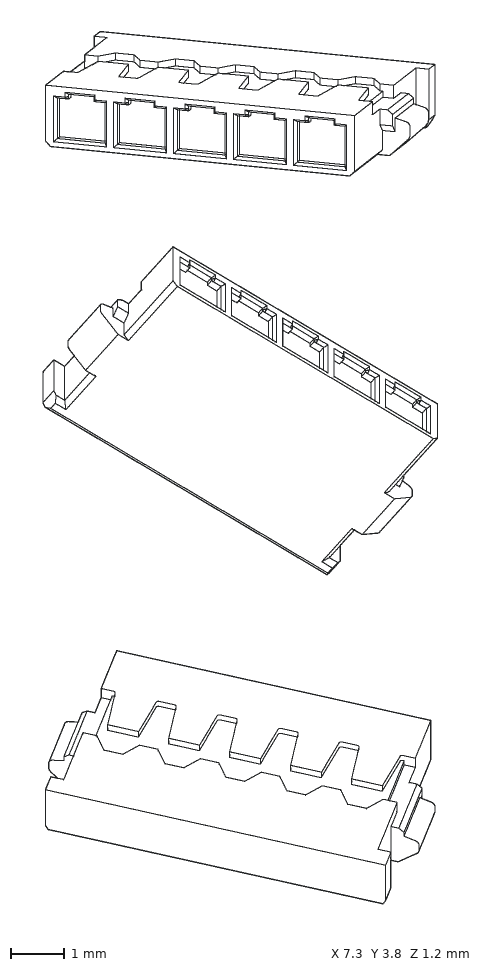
import cadquery as cq
import math

OVERALL_WIDTH = 7.3
BODY_WIDTH = 6.19
BODY_DEPTH = 3.8
BODY_HEIGHT = 1.2
EDGE_CHAMFER = 0.1

POSITIONS = 5
ROW_LENGTH = 4.8
PITCH = ROW_LENGTH / (POSITIONS - 1)

FLANGE_WIDTH = 6.7
FLANGE_DEPTH = 0.35
FLANGE_BEVEL_WIDTH = 0.11
FLANGE_BEVEL_HEIGHT = 0.205

TRENCH_FRONT = 1.015
TRENCH_REAR = 2.2
TRENCH_FLOOR = 1.06
TRENCH_WIDTH = 5.75
SHELF_HEIGHT = 0.94

TONGUE_ROOT_WIDTH = 0.82
TONGUE_TIP_WIDTH = 0.605
TONGUE_TIP = 1.87
TONGUE_TIP_SLOPE = 0.015
TONGUE_ROOT_RADIUS = 0.045
NOTCH_MOUTH_WIDTH = 0.84
NOTCH_END_WIDTH = 0.37
NOTCH_END = 2.51

LATCH_REAR = 2.6
LATCH_FRONT = 1.56
LATCH_FOOT = 3.235
LATCH_LOWER_CORNER = 0.395
LATCH_UPPER_CORNER = 0.68
LATCH_RAMP_TOP = 0.75
LATCH_LOWER_RADIUS = 0.16
LATCH_UPPER_RADIUS = 0.11
RIB_FRONT = 1.415
RIB_NOSE_HEIGHT = 0.635
RIB_BASE_HEIGHT = 0.48
RIB_CHAMFER_WIDTH = 0.1
RIB_CHAMFER_HEIGHT = 0.08

SOCKET_WIDTH = 1.06
SOCKET_BOTTOM = 0.1
SOCKET_TOP = 1.0
KEY_WIDTH = 0.605
KEY_TOP = 1.095
SOCKET_DEPTH = 0.2
LEAD_IN_DEPTH = 0.065
LEAD_IN_INSET = 0.05

HALF_OVERALL = OVERALL_WIDTH / 2
HALF_BODY = BODY_WIDTH / 2
HALF_FLANGE = FLANGE_WIDTH / 2
POSITION_CENTRES = [i * PITCH - ROW_LENGTH / 2 for i in range(POSITIONS)]


def box(x_min, x_max, y_min, y_max, z_min, z_max):
    """Block between the given limits."""
    size = (x_max - x_min, y_max - y_min, z_max - z_min)
    return cq.Workplane("XY").box(*size, centered=False).translate((x_min, y_min, z_min))


def prism_along_y(points, y_min, y_max):
    """XZ outline carried from y_min to y_max."""
    return cq.Workplane("XZ", origin=(0, y_min, 0)).polyline(points).close().extrude(y_min - y_max)


def prism_along_x(points, x_min, x_max):
    """YZ outline carried from x_min to x_max."""
    return cq.Workplane("YZ", origin=(x_min, 0, 0)).polyline(points).close().extrude(x_max - x_min)


def make_body():
    """Main block with bevelled lower side edges."""
    half_bottom = HALF_BODY - EDGE_CHAMFER
    outline = [
        (-half_bottom, 0),
        (half_bottom, 0),
        (HALF_BODY, EDGE_CHAMFER),
        (HALF_BODY, BODY_HEIGHT),
        (-HALF_BODY, BODY_HEIGHT),
        (-HALF_BODY, EDGE_CHAMFER),
    ]
    return prism_along_y(outline, 0, BODY_DEPTH)


def make_flange():
    """Rear flange with bevelled ends and bevelled lower long edges."""
    front = BODY_DEPTH - FLANGE_DEPTH
    side_outline = [
        (front + EDGE_CHAMFER, 0),
        (BODY_DEPTH - EDGE_CHAMFER, 0),
        (BODY_DEPTH, EDGE_CHAMFER),
        (BODY_DEPTH, BODY_HEIGHT),
        (front, BODY_HEIGHT),
        (front, EDGE_CHAMFER),
    ]
    half_bottom = HALF_FLANGE - FLANGE_BEVEL_WIDTH
    end_outline = [
        (-half_bottom, 0),
        (half_bottom, 0),
        (HALF_FLANGE, FLANGE_BEVEL_HEIGHT),
        (HALF_FLANGE, BODY_HEIGHT),
        (-HALF_FLANGE, BODY_HEIGHT),
        (-HALF_FLANGE, FLANGE_BEVEL_HEIGHT),
    ]
    flange = prism_along_x(side_outline, -HALF_FLANGE, HALF_FLANGE)
    return flange.intersect(prism_along_y(end_outline, front, BODY_DEPTH))


def make_rear_bevel():
    """Wedge that bevels the lower rear edge of the body."""
    outline = [
        (BODY_DEPTH - EDGE_CHAMFER, 0),
        (BODY_DEPTH, 0),
        (BODY_DEPTH, EDGE_CHAMFER),
    ]
    return prism_along_x(outline, -HALF_BODY, HALF_BODY)


def make_tongue(centre):
    """Tapered tongue with rounded root corners and a sloped tip, reaching back over the trench floor."""
    half_root = TONGUE_ROOT_WIDTH / 2
    half_tip = TONGUE_TIP_WIDTH / 2
    tip_foot = TONGUE_TIP + TONGUE_TIP_SLOPE
    outline = [
        (centre - PITCH / 2, 0),
        (centre + PITCH / 2, 0),
        (centre + PITCH / 2, TRENCH_FRONT),
        (centre + half_root, TRENCH_FRONT),
        (centre + half_tip, tip_foot),
        (centre - half_tip, tip_foot),
        (centre - half_root, TRENCH_FRONT),
        (centre - PITCH / 2, TRENCH_FRONT),
    ]
    tongue = cq.Workplane("XY").polyline(outline).close().extrude(BODY_HEIGHT)
    margin = TONGUE_ROOT_RADIUS / 2
    root_corners = cq.selectors.BoxSelector(
        (centre - half_root - margin, TRENCH_FRONT - margin, 0),
        (centre + half_root + margin, TRENCH_FRONT + margin, BODY_HEIGHT),
    )
    tongue = tongue.edges("|Z").edges(root_corners).fillet(TONGUE_ROOT_RADIUS)
    tip_wedge = [(tip_foot, TRENCH_FLOOR), (tip_foot, BODY_HEIGHT), (TONGUE_TIP, BODY_HEIGHT)]
    return tongue.cut(prism_along_x(tip_wedge, centre - half_root, centre + half_root))


def make_notch(centre):
    """Trapezoidal notch opening into the rear side of the trench."""
    half_mouth = NOTCH_MOUTH_WIDTH / 2
    half_end = NOTCH_END_WIDTH / 2
    outline = [
        (centre - half_mouth, TRENCH_REAR),
        (centre - half_end, NOTCH_END),
        (centre + half_end, NOTCH_END),
        (centre + half_mouth, TRENCH_REAR),
    ]
    sketch = cq.Workplane("XY", origin=(0, 0, TRENCH_FLOOR)).polyline(outline).close()
    return sketch.extrude(BODY_HEIGHT - TRENCH_FLOOR)


def make_trench():
    """Full-width trench with lower side shelves, less the tongues, plus the notches."""
    half_trench = TRENCH_WIDTH / 2
    trench = box(-HALF_BODY, HALF_BODY, TRENCH_FRONT, TRENCH_REAR, TRENCH_FLOOR, BODY_HEIGHT)
    for centre in POSITION_CENTRES:
        trench = trench.cut(make_tongue(centre)).union(make_notch(centre))
    for x_min, x_max in ((-HALF_BODY, -half_trench), (half_trench, HALF_BODY)):
        trench = trench.union(box(x_min, x_max, TRENCH_FRONT, TRENCH_REAR, SHELF_HEIGHT, BODY_HEIGHT))
    return trench


def make_latch():
    """Left latch: a rounded wedge-shaped arm with a taller rib against the body."""
    arm_outline = [
        (-HALF_BODY + EDGE_CHAMFER, 0),
        (-LATCH_FOOT, 0),
        (-HALF_OVERALL, LATCH_LOWER_CORNER),
        (-HALF_OVERALL, LATCH_UPPER_CORNER),
        (-HALF_FLANGE, LATCH_RAMP_TOP),
        (-HALF_BODY + EDGE_CHAMFER, LATCH_RAMP_TOP),
    ]
    arm = prism_along_y(arm_outline, LATCH_FRONT, LATCH_REAR)
    middle = (LATCH_FRONT + LATCH_REAR) / 2
    for corner_height, radius in (
        (LATCH_LOWER_CORNER, LATCH_LOWER_RADIUS),
        (LATCH_UPPER_CORNER, LATCH_UPPER_RADIUS),
    ):
        corner = cq.selectors.NearestToPointSelector((-HALF_OVERALL, middle, corner_height))
        arm = arm.edges("|Y").edges(corner).fillet(radius)

    rib_side = [
        (LATCH_REAR, RIB_BASE_HEIGHT),
        (LATCH_FRONT, RIB_BASE_HEIGHT),
        (RIB_FRONT, RIB_NOSE_HEIGHT),
        (RIB_FRONT, SHELF_HEIGHT),
        (LATCH_REAR, SHELF_HEIGHT),
    ]
    rib_bevel = [
        (-HALF_FLANGE, SHELF_HEIGHT - RIB_CHAMFER_HEIGHT),
        (-HALF_FLANGE + RIB_CHAMFER_WIDTH, SHELF_HEIGHT),
        (-HALF_FLANGE, SHELF_HEIGHT),
    ]
    rib = prism_along_x(rib_side, -HALF_FLANGE, -HALF_BODY)
    return arm.union(rib.cut(prism_along_y(rib_bevel, RIB_FRONT, LATCH_REAR)))


def make_socket(centre):
    """Keyed blind socket with a sloped lead-in around its mouth."""

    def outline(y, inset):
        half_width = SOCKET_WIDTH / 2 - inset
        half_key = KEY_WIDTH / 2 - inset
        points = [
            (centre - half_width, SOCKET_BOTTOM + inset),
            (centre + half_width, SOCKET_BOTTOM + inset),
            (centre + half_width, SOCKET_TOP - inset),
            (centre + half_key, SOCKET_TOP - inset),
            (centre + half_key, KEY_TOP - inset),
            (centre - half_key, KEY_TOP - inset),
            (centre - half_key, SOCKET_TOP - inset),
            (centre - half_width, SOCKET_TOP - inset),
        ]
        return cq.Workplane("XZ", origin=(0, y, 0)).polyline(points).close()

    taper = math.degrees(math.atan2(LEAD_IN_INSET, LEAD_IN_DEPTH))
    lead_in = outline(0, 0).extrude(-LEAD_IN_DEPTH, taper=taper)
    pocket = outline(0, LEAD_IN_INSET).extrude(-SOCKET_DEPTH)
    return lead_in.union(pocket)


result = make_body().cut(make_rear_bevel()).union(make_flange()).cut(make_trench())
left_latch = make_latch()
result = result.union(left_latch).union(left_latch.mirror("YZ"))
for socket_centre in POSITION_CENTRES:
    result = result.cut(make_socket(socket_centre))